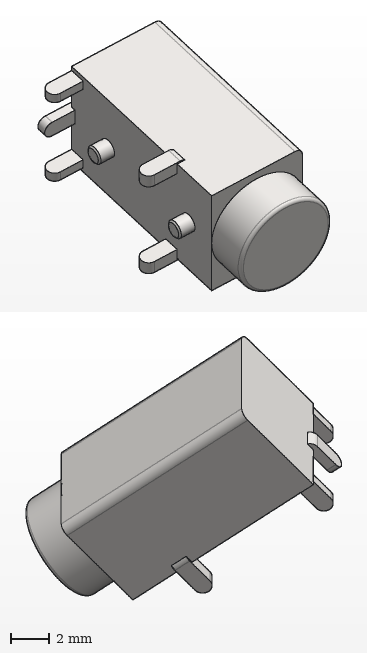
import cadquery as cq
import math


body_length = 12.2
body_depth = 6.0
body_height = 7.0
body_edge_radius = 0.5
barrel_diameter = 6.0
barrel_length = 2.5
barrel_edge_radius = 0.2

peg_diameter = 1.1
peg_length = 1.0
peg_edge_chamfer = 0.1
peg_positions = (3.2, 10.2)

lead_length = 2.0
lead_width = 1.0
bend_radius = 0.5
bend_top = 0.5
side_lead_center = 8.7
side_lead_thickness = 0.8
side_lead_overhang = 0.1
rear_lead_thickness = 0.6
rear_lead_overhang = 0.3
corner_lead_thickness = 0.6
corner_lead_inset = 0.3
corner_lead_setback = 0.01


def make_housing():
    housing = (
        cq.Workplane("XY")
        .box(body_length, body_depth, body_height, centered=(False, False, True))
        .edges("|X and >Y")
        .fillet(body_edge_radius)
    )
    barrel = (
        cq.Workplane("YZ", origin=(body_length, body_depth / 2, 0))
        .circle(barrel_diameter / 2)
        .extrude(barrel_length)
        .faces(">X")
        .edges()
        .fillet(barrel_edge_radius)
    )
    return housing.union(barrel)


def make_peg(x):
    """Peg with a chamfered tip, standing on the mounting face."""
    return (
        cq.Workplane("XZ", origin=(x, 0, 0))
        .circle(peg_diameter / 2)
        .extrude(peg_length)
        .faces("<Y")
        .edges()
        .chamfer(peg_edge_chamfer)
    )


def make_straight_lead(thickness, top):
    """Round-tipped lead centred on X = 0, with its outer face at Z = 0 and its body toward -Z."""
    tip_radius = lead_width / 2
    tip_start = tip_radius - lead_length
    return (
        cq.Workplane("XY")
        .moveTo(-tip_radius, top)
        .lineTo(-tip_radius, tip_start)
        .threePointArc((0, -lead_length), (tip_radius, tip_start))
        .lineTo(tip_radius, top)
        .close()
        .extrude(-thickness)
    )


def make_bent_lead(thickness, overhang):
    """Lead whose outer face curves into a wall lying `overhang` below Z = 0."""
    bend_height = math.sqrt(bend_radius**2 - (bend_radius - overhang) ** 2)
    bend_end = bend_top - bend_height + bend_radius
    lead = make_straight_lead(thickness, bend_end)
    return lead.edges("|X and >Y and >Z").fillet(bend_radius)


def make_side_lead():
    lead = make_bent_lead(side_lead_thickness, side_lead_overhang)
    return lead.translate((side_lead_center, 0, body_height / 2 + side_lead_overhang))


def make_corner_lead():
    lead = make_straight_lead(corner_lead_thickness, bend_top)
    return lead.translate((corner_lead_setback + lead_width / 2, 0, body_height / 2 - corner_lead_inset))


def make_rear_lead():
    lead = make_bent_lead(rear_lead_thickness, rear_lead_overhang)
    turned = lead.rotate((0, 0, 0), (0, 1, 0), -90)
    return turned.translate((-rear_lead_overhang, 0, 0))


result = make_housing().union(make_rear_lead())
for peg_x in peg_positions:
    result = result.union(make_peg(peg_x))
for paired_lead in (make_side_lead(), make_corner_lead()):
    result = result.union(paired_lead).union(paired_lead.mirror("XY"))